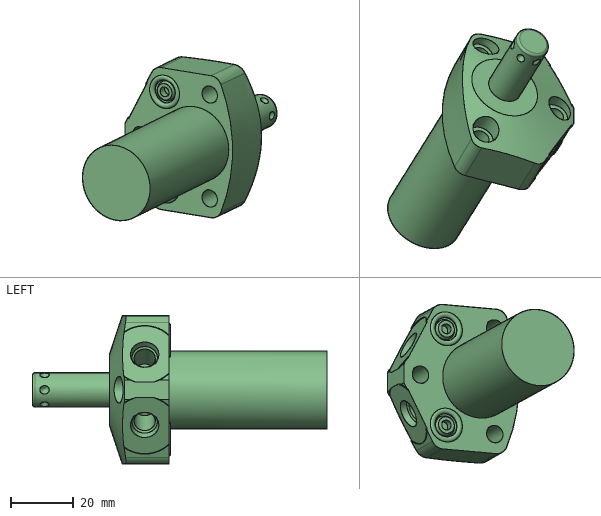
import cadquery as cq
import math


body_diameter = 25.1
body_length = 50.7
rod_diameter = 11.1
rod_length = 43.9
rod_end_fillet = 0.85

dimple_count = 6
dimple_radius = 1.5
dimple_depth = 1.5
dimple_end_distance = 3.9

flange_left = -25.9
flange_right = 14.2
flange_height = 47.6
flange_half_height = flange_height / 2
flange_thickness = 19.2
nose_half_height = 3.1
side_angle = 28.0
bulge_radius = 55.3
bulge_draft = 0.8
corner_fillet = 4.0
match_tolerance = 0.1

crown_flat_radius = 11.4
crown_slope = 1 / 3

mount_hole_radius = 2.8
screw_head_radius = 4.3
screw_seat_y = 12.3
nose_hole_x = -20.3
side_hole_x = 5.5
side_hole_z = 17.4

port_y = 7.9
port_z = 11.45
spotface_radius = 10.4
spotface_depth = 0.3
port_mouth_radius = 4.5
port_taper_radius = 4.1
port_taper_depth = 2.2
port_bore_radius = 3.4
port_bore_start = 2.65
port_bore_end = 12.9
port_clearance = 4.7

seal_x = -11.3
seal_spacing = 31.7
seal_radius = 4.7
seal_section_radius = 0.9
seal_protrusion = 0.5
groove_depth = 1.2
boss_base_radius = 3.3
boss_top_radius = 2.7
boss_hole_radius = 1.6
boss_hole_depth = 2.8


def revolve_about_y(points, axis_x=0.0):
    """Solid of revolution from (radius, y) points about a line parallel to Y."""
    profile = cq.Workplane("XY").polyline(points).close()
    return profile.revolve(360, (0, 0, 0), (0, 1, 0)).translate((axis_x, 0, 0))


def make_flange():
    """Flange plate with sloping port sides, a drafted bulge and a conical crown."""
    side_run = (flange_half_height - nose_half_height) * math.tan(math.radians(side_angle))
    shoulder_x = flange_left + side_run
    outline = [
        (flange_left, -nose_half_height),
        (shoulder_x, -flange_half_height),
        (flange_right, -flange_half_height),
        (flange_right, flange_half_height),
        (shoulder_x, flange_half_height),
        (flange_left, nose_half_height),
    ]
    plate = cq.Workplane("XZ").polyline(outline).close().extrude(-flange_thickness)

    rim_y = flange_thickness - (flange_right - crown_flat_radius) * crown_slope
    draft = math.tan(math.radians(bulge_draft))
    bulge = revolve_about_y(
        [
            (0, 0),
            (bulge_radius - rim_y * draft, 0),
            (bulge_radius + (flange_thickness - rim_y) * draft, flange_thickness),
            (0, flange_thickness),
        ],
        axis_x=flange_right - bulge_radius,
    )
    plate = plate.intersect(bulge)

    def is_corner(edge):
        centre = edge.Center()
        on_flat = abs(abs(centre.z) - flange_half_height) < match_tolerance
        return on_flat and abs(centre.y - flange_thickness / 2) < match_tolerance

    plate = plate.edges().filter(is_corner).fillet(corner_fillet)

    crown_radius = crown_flat_radius + flange_thickness / crown_slope
    crown = revolve_about_y(
        [(0, 0), (crown_radius, 0), (crown_flat_radius, flange_thickness), (0, flange_thickness)]
    )
    return plate.intersect(crown)


def make_rod():
    """Piston rod with a rounded end and a ring of conical dimples."""
    rod = cq.Workplane("XZ").circle(rod_diameter / 2).extrude(-rod_length)
    rod = rod.faces(">Y").edges().fillet(rod_end_fillet)
    for index in range(dimple_count):
        angle = math.radians(index * 360 / dimple_count)
        outward = cq.Vector(math.cos(angle), 0, math.sin(angle))
        mouth = outward * (rod_diameter / 2) + cq.Vector(0, rod_length - dimple_end_distance, 0)
        rod = rod.cut(cq.Solid.makeCone(dimple_radius, 0, dimple_depth, mouth, outward * -1))
    return rod


def port_cutter(side):
    """Spotface and stepped port bore on the +Z (side = 1) or -Z (side = -1) slope."""
    angle = math.radians(side_angle)
    inward = cq.Vector(math.cos(angle), 0, -side * math.sin(angle))
    slope_x = flange_left + (port_z - nose_half_height) * math.tan(angle)
    floor = cq.Vector(slope_x, port_y, side * port_z) + inward * spotface_depth
    floor_plane = cq.Plane(origin=floor.toTuple(), xDir=(0, 1, 0), normal=inward.toTuple())
    spotface = cq.Workplane(floor_plane).circle(spotface_radius).extrude(-port_clearance)
    profile = [
        (0, 0),
        (port_mouth_radius, 0),
        (port_taper_radius, port_taper_depth),
        (port_bore_radius, port_bore_start),
        (port_bore_radius, port_bore_end),
        (0, port_bore_end),
    ]
    profile_plane = cq.Plane(
        origin=floor.toTuple(), xDir=(0, 1, 0), normal=cq.Vector(0, 1, 0).cross(inward).toTuple()
    )
    bore = cq.Workplane(profile_plane).polyline(profile).close().revolve(360, (0, 0, 0), (0, 1, 0))
    return spotface.union(bore)


def add_seal(part, z):
    """Sealing ring in its groove around a small bored boss."""
    centre = (seal_x, 0, z)
    groove = revolve_about_y(
        [
            (boss_top_radius, 0),
            (seal_radius, 0),
            (seal_radius, groove_depth),
            (boss_base_radius, groove_depth),
        ]
    )
    hole = cq.Workplane("XZ").circle(boss_hole_radius).extrude(-boss_hole_depth)
    ring = cq.Workplane(
        cq.Solid.makeTorus(
            seal_radius,
            seal_section_radius,
            cq.Vector(0, seal_section_radius - seal_protrusion, 0),
            cq.Vector(0, 1, 0),
        )
    )
    part = part.cut(groove.translate(centre)).cut(hole.translate(centre))
    return part.union(ring.translate(centre))


def mounting_hole_cutter():
    """Through holes with screw-head counterbores sunk from the rod side."""
    centres = [(nose_hole_x, 0), (side_hole_x, side_hole_z), (side_hole_x, -side_hole_z)]
    face = cq.Workplane("XZ").pushPoints(centres)
    holes = face.circle(mount_hole_radius).extrude(-flange_thickness)
    seat = cq.Workplane("XZ", origin=(0, screw_seat_y, 0)).pushPoints(centres)
    heads = seat.circle(screw_head_radius).extrude(screw_seat_y - flange_thickness)
    return holes.union(heads)


flange = make_flange().cut(mounting_hole_cutter())
for side in (1, -1):
    flange = flange.cut(port_cutter(side))
    flange = add_seal(flange, side * seal_spacing / 2)

body = cq.Workplane("XZ").circle(body_diameter / 2).extrude(body_length)
result = flange.union(body).union(make_rod())